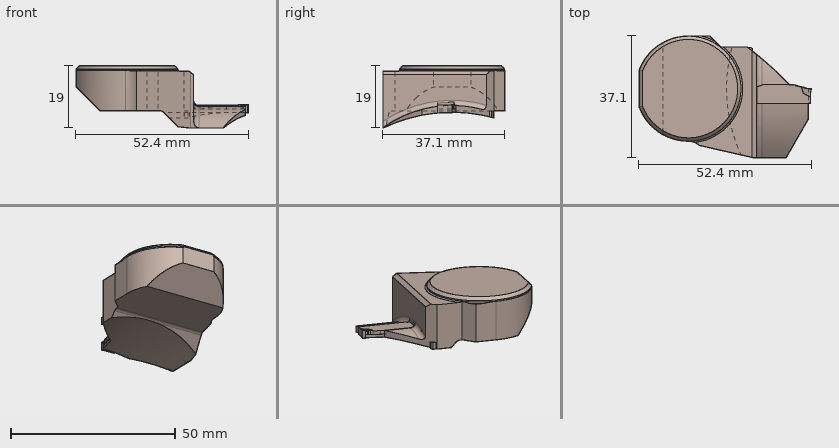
import cadquery as cq
import math


disc_radius = 15.95
disc_chamfer = 1.0
disc_top_z = 13.75
disc_bottom_z = 12.35
round_end_radius = 16.0
flat_x = -14.95
flare_radius = 16.5

body_top_z = 12.05
heel_z = 7.2
front_y = -21.05
front_corner_x = 19.8
neck_radius = 5.0
neck_end_x = 3.35
back_y = 12.65
back_step_x = 9.85
back_corner_x = 17.8
shoulder_x = 20.75
shoulder_chamfer = (1.35, 1.05)
keel_x = 11.1
keel_radius = 1.7

heel_block_x = 19.55
heel_block_y = 12.5
heel_block_chamfer = 0.45

blade_top_radius = 36.1
blade_crest_z = 1.6
under_radius = 48.35
under_crest_z = -0.45
root_fillet = 1.55
blade_end_x = 36.5
blade_end_y = -9.2
blade_front_x = 29.7
blade_back = (30.75, 1.2)
blade_back_mid = (27.2, 4.7)

insert_left_x = 20.85
insert_right_x = 37.15
insert_front_y = -4.5
insert_back_y = 1.2
insert_taper_x = 32.05
insert_relief_x = 22.65
insert_relief_y = 0.6
insert_top_z = 1.75
insert_seat_z = 0.5
nose_bottom_z = -0.65
edge_x = 37.4
edge_y = 0.0
edge_end_y = -1.2
edge_top_z = 1.9
chip_floor_z = 1.5
chip_corner = (34.9, -1.35)
chip_end_y = -2.65
tip_back = [(edge_x, edge_y), (35.85, edge_y), (35.1, 0.45), (34.3, 0.6)]

beyond = 78.5
lowest_z = -7.85


def body_outline():
    """Plan outline of body and blade together, as a wire ready to extrude from lowest_z."""
    flat_half = math.sqrt(round_end_radius**2 - flat_x**2)
    diagonal = round_end_radius * math.sqrt(0.5)
    neck_center_y = -round_end_radius - neck_radius
    neck_end_y = neck_center_y + math.sqrt(neck_radius**2 - neck_end_x**2)
    neck_mid_angle = math.asin(neck_end_x / neck_radius) / 2
    neck_mid = (
        neck_radius * math.sin(neck_mid_angle),
        neck_center_y + neck_radius * math.cos(neck_mid_angle),
    )
    back_step_end_x = back_step_x - (round_end_radius - back_y)
    return (
        cq.Workplane("XY", origin=(0, 0, lowest_z))
        .moveTo(flat_x, flat_half)
        .lineTo(flat_x, -flat_half)
        .threePointArc((-diagonal, -diagonal), (0, -round_end_radius))
        .threePointArc(neck_mid, (neck_end_x, neck_end_y))
        .lineTo(front_corner_x, front_y)
        .lineTo(blade_front_x, front_y)
        .lineTo(blade_end_x, blade_end_y)
        .lineTo(blade_end_x, edge_y)
        .lineTo(*blade_back)
        .threePointArc(blade_back_mid, (back_corner_x, back_y))
        .lineTo(back_step_x, back_y)
        .lineTo(back_step_end_x, round_end_radius)
        .lineTo(0, round_end_radius)
        .threePointArc((-diagonal, diagonal), (flat_x, flat_half))
        .close()
    )


def side_envelope():
    """Side outline of the body: heel slope, flat underside and rounded 45 degree keel slope."""
    envelope = (
        cq.Workplane("XZ", origin=(0, beyond, 0))
        .moveTo(flat_x, disc_bottom_z)
        .lineTo(flat_x, heel_z)
        .lineTo(flat_x + heel_z, 0)
        .lineTo(keel_x, 0)
        .lineTo(keel_x - lowest_z, lowest_z)
        .lineTo(beyond, lowest_z)
        .lineTo(beyond, disc_bottom_z)
        .close()
        .extrude(2 * beyond)
    )
    return envelope.edges(cq.NearestToPointSelector((keel_x, 0, 0))).fillet(keel_radius)


def cylinder_along_x(radius, crest_z, start_x, length):
    """Solid cylinder along X whose highest line lies at crest_z."""
    return cq.Workplane("YZ", origin=(start_x, 0, crest_z - radius)).circle(radius).extrude(length)


def blade_clearance():
    """Space above the blade, with the root fillet against the shoulder."""
    axis_z = blade_crest_z - blade_top_radius
    corner = root_fillet * (1 - math.sqrt(0.5))
    return (
        cq.Workplane("XZ")
        .moveTo(shoulder_x + root_fillet, blade_crest_z)
        .lineTo(beyond, blade_crest_z)
        .lineTo(beyond, beyond)
        .lineTo(shoulder_x, beyond)
        .lineTo(shoulder_x, blade_crest_z + root_fillet)
        .threePointArc(
            (shoulder_x + corner, blade_crest_z + corner),
            (shoulder_x + root_fillet, blade_crest_z),
        )
        .close()
        .revolve(360, (0, axis_z, 0), (1, axis_z, 0))
    )


def shoulder_chamfer_cutter():
    """Triangular prism that bevels the top edge of the shoulder."""
    run, drop = shoulder_chamfer
    return (
        cq.Workplane("XZ", origin=(0, beyond, 0))
        .moveTo(shoulder_x - run, body_top_z)
        .lineTo(shoulder_x, body_top_z - drop)
        .lineTo(shoulder_x, body_top_z)
        .close()
        .extrude(2 * beyond)
    )


def heel_block():
    """Low corner at the back of the body, below the trimmed blade edge."""
    return (
        cq.Workplane("XY", origin=(0, 0, lowest_z))
        .moveTo(back_step_x, 0)
        .lineTo(heel_block_x, 0)
        .lineTo(heel_block_x, heel_block_y - heel_block_chamfer)
        .lineTo(heel_block_x - heel_block_chamfer, heel_block_y)
        .lineTo(back_step_x, heel_block_y)
        .close()
        .extrude(-lowest_z)
    )


def clamping_disc():
    """Round disc with one flat, chamfered around its top."""
    height = disc_top_z - disc_bottom_z
    disc = cq.Workplane("XY", origin=(0, 0, disc_bottom_z)).circle(disc_radius).extrude(height)
    disc = disc.faces(">Z").chamfer(disc_chamfer)
    flat_trim = (
        cq.Workplane("XY", origin=(flat_x, 0, disc_bottom_z))
        .rect(beyond, beyond)
        .extrude(height)
        .translate((beyond / 2, 0, 0))
        .edges("<X and >Z")
        .chamfer(disc_chamfer)
    )
    return disc.intersect(flat_trim)


def conical_flare():
    """Low cone from the body top up to the disc, trimmed to the body outline."""
    height = disc_bottom_z - body_top_z
    cone = cq.Solid.makeCone(flare_radius, disc_radius, height, pnt=cq.Vector(0, 0, body_top_z))
    return body_outline().extrude(disc_bottom_z - lowest_z).intersect(cq.Workplane(cone))


def plan_prism(corners, bottom_z, top_z):
    """Vertical prism over a polygon of (x, y) corners."""
    return cq.Workplane("XY", origin=(0, 0, bottom_z)).polyline(corners).close().extrude(top_z - bottom_z)


def insert_outline():
    """Plan corners of the insert, starting at the front left."""
    return [
        (insert_left_x, insert_front_y),
        (insert_right_x, insert_front_y),
        (insert_right_x, edge_end_y),
        *tip_back,
        (insert_taper_x, insert_back_y),
        (insert_relief_x, insert_back_y),
        (insert_left_x, insert_relief_y),
    ]


def chip_breaker():
    """Upright block over the tip, and the prism with a sloping top that trims it to height."""
    outline = [chip_corner, (insert_right_x, chip_end_y), (insert_right_x, edge_end_y), *tip_back]
    slope = (
        cq.Workplane("YZ")
        .moveTo(chip_end_y, insert_seat_z)
        .lineTo(chip_end_y, chip_floor_z)
        .lineTo(edge_y, edge_top_z)
        .lineTo(insert_back_y, edge_top_z)
        .lineTo(insert_back_y, insert_seat_z)
        .close()
        .extrude(beyond)
    )
    return plan_prism(outline, insert_seat_z, edge_top_z), slope


def make_insert():
    """Bar lying on the blade seat, with a sloping chip breaker and a nose over the blade end."""
    tip_block, slope = chip_breaker()
    bar = plan_prism(insert_outline(), insert_seat_z, insert_top_z)
    bar = bar.cut(tip_block).union(tip_block.intersect(slope))
    nose_corners = [
        (blade_end_x, insert_front_y),
        (insert_right_x, insert_front_y),
        (insert_right_x, edge_end_y),
        (edge_x, edge_y),
        (blade_end_x, edge_y),
    ]
    return bar.union(plan_prism(nose_corners, nose_bottom_z, insert_seat_z))


def make_holder():
    """Clamping head with its disc, block and curved blade, pocketed for the insert."""
    body = body_outline().extrude(body_top_z - lowest_z)
    body = body.cut(shoulder_chamfer_cutter()).union(heel_block())
    body = body.intersect(side_envelope())
    body = body.cut(cylinder_along_x(under_radius, under_crest_z, -beyond, 2 * beyond))
    body = body.cut(blade_clearance())
    body = body.union(conical_flare()).union(clamping_disc())
    pocket_top_z = blade_crest_z + root_fillet
    return body.cut(plan_prism(insert_outline(), insert_seat_z, pocket_top_z))


holder = make_holder()
insert = make_insert()
result = cq.Compound.makeCompound([holder.solids().val(), insert.solids().val()])